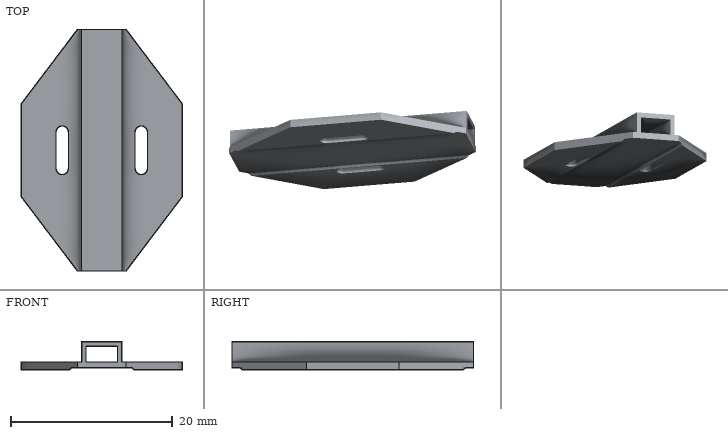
import cadquery as cq

plate_width = 20.0
plate_length = 30.0
plate_thickness = 1.0
plate_end_width = 6.0
plate_side_length = 11.5

tube_width = 5.0
tube_height = 2.5
tube_side_wall = 0.55
tube_roof = 0.6

groove_mouth_width = 8.0
groove_depth = 0.25
groove_floor_width = groove_mouth_width - 2 * groove_depth

slot_length = 6.0
slot_width = 1.5
slot_spacing = 9.8


def make_plate():
    """Octagonal plate with its underside at Z = 0."""
    half_width = plate_width / 2
    half_length = plate_length / 2
    half_end = plate_end_width / 2
    half_side = plate_side_length / 2
    outline = [
        (half_end, half_length),
        (half_width, half_side),
        (half_width, -half_side),
        (half_end, -half_length),
        (-half_end, -half_length),
        (-half_width, -half_side),
        (-half_width, half_side),
        (-half_end, half_length),
    ]
    return cq.Workplane("XY").polyline(outline).close().extrude(plate_thickness)


def make_block(width, height):
    """Full-length block of the given section, standing on the plate's top face."""
    return (
        cq.Workplane("XY")
        .workplane(offset=plate_thickness)
        .rect(width, plate_length)
        .extrude(height)
    )


def make_tube():
    """Tube walls and roof; the plate itself closes the bottom."""
    opening_width = tube_width - 2 * tube_side_wall
    opening_height = tube_height - tube_roof
    return make_block(tube_width, tube_height).cut(make_block(opening_width, opening_height))


def make_groove():
    """Trapezoidal cutter running the full length of the underside."""
    section = [
        (-groove_mouth_width / 2, 0),
        (-groove_floor_width / 2, groove_depth),
        (groove_floor_width / 2, groove_depth),
        (groove_mouth_width / 2, 0),
    ]
    return cq.Workplane("XZ").polyline(section).close().extrude(plate_length / 2, both=True)


def make_slots():
    """Pair of slot cutters, long side along Y."""
    slot_centres = [(-slot_spacing / 2, 0), (slot_spacing / 2, 0)]
    return (
        cq.Workplane("XY")
        .pushPoints(slot_centres)
        .slot2D(slot_length, slot_width, 90)
        .extrude(plate_thickness)
    )


result = make_plate().union(make_tube()).cut(make_groove()).cut(make_slots())